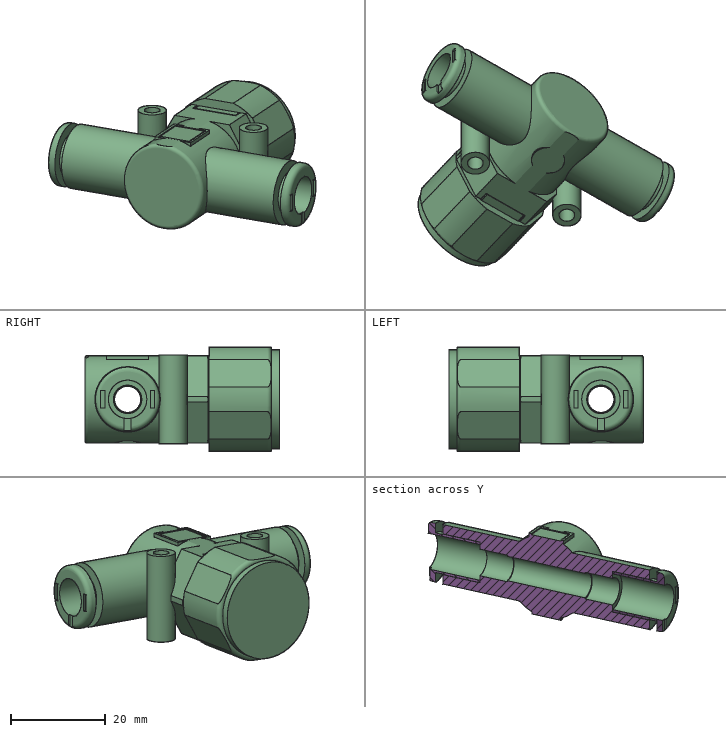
import cadquery as cq
import math


BARREL_RADIUS = 18.86 / 2
BARREL_END_Y = -9.02
BARREL_END_FILLET = 0.8
FLAT_Z = 9.25
ARM_RADIUS = 13.8 / 2
ARM_END_X = 25.05
BORE_RADIUS = 5.5 / 2
TUBE_STOP_RADIUS = 6.0 / 2

CORNER_RADIUS = 11.5
NECK_SIDE_APOTHEM = 10.25
NECK_START_Y = 9.2
NECK_END_Y = 16.95
WINDOW_WIDTH = 10.2
WINDOW_DEPTH = 0.5

PAD_WIDTH = 8.4
PAD_LENGTH = 8.9
PAD_RIM = 0.65
PAD_RECESS_DEPTH = 0.2
GATE_RADIUS = 3.5

EYELET_X = 12.0
EYELET_Y = 9.6
EYELET_RADIUS = 6.0 / 2
EYELET_HOLE_RADIUS = 3.3 / 2
EYELET_HEIGHT = 18.8

COLLET_BORE_RADIUS = 8.1 / 2
COLLET_SLEEVE_RADIUS = 9.2 / 2
COLLET_RIM_RADIUS = 13.6 / 2
COLLET_FACE_RADIUS = 11.65 / 2
COLLET_RIM_THICKNESS = 1.9
COLLET_END_X = 57.2 / 2
SOCKET_DEPTH = 9.0
MARK_DEPTH = 0.4
KEY_GROOVE_WIDTH = 1.45
SIDE_GROOVE_INNER_Y = 4.8
SIDE_GROOVE_WIDTH = 0.9
SIDE_GROOVE_LENGTH = 3.66

NUT_ACROSS_FLATS = 22.0
NUT_START_Y = 17.2
NUT_SHOULDER_Y = 30.4
NUT_END_Y = 32.08
NUT_FILLET = 0.9
NUT_LIP_RADIUS = 20.96 / 2
SPIGOT_ACROSS_FLATS = 18.26
SPIGOT_CORNER_RADIUS = 10.3
SPIGOT_START_Y = 15.1

SIDES = (-1, 1)
SOCKET_END_X = ARM_END_X - SOCKET_DEPTH
LONG = 100.0


def cylinder_y(radius, start_y, end_y):
    """Cylinder on the Y axis."""
    return cq.Workplane("XZ", origin=(0, start_y, 0)).circle(radius).extrude(start_y - end_y)


def cylinder_x(radius, start_x, end_x):
    """Cylinder on the X axis."""
    return cq.Workplane("YZ", origin=(start_x, 0, 0)).circle(radius).extrude(end_x - start_x)


def hexagon_y(flat_apothem, side_apothem, start_y, end_y):
    """Hexagonal prism along Y with flats facing +Z and -Z and four side faces."""
    cos30 = math.cos(math.radians(30))
    sin30 = math.sin(math.radians(30))
    corner_x = side_apothem / cos30
    flat_end_x = (side_apothem - flat_apothem * sin30) / cos30
    points = [
        (corner_x, 0),
        (flat_end_x, flat_apothem),
        (-flat_end_x, flat_apothem),
        (-corner_x, 0),
        (-flat_end_x, -flat_apothem),
        (flat_end_x, -flat_apothem),
    ]
    profile = cq.Workplane("XZ", origin=(0, start_y, 0)).polyline(points).close()
    return profile.extrude(start_y - end_y)


def make_spigot():
    """Hexagonal end of the nut with rounded corners, which sits in the body's neck."""
    apothem = SPIGOT_ACROSS_FLATS / 2
    hexagon = hexagon_y(apothem, apothem, SPIGOT_START_Y, NUT_START_Y)
    return hexagon.intersect(cylinder_y(SPIGOT_CORNER_RADIUS, SPIGOT_START_Y, NUT_START_Y))


def make_nut():
    apothem = NUT_ACROSS_FLATS / 2
    round_stock = cylinder_y(CORNER_RADIUS, NUT_START_Y, NUT_SHOULDER_Y)
    round_stock = round_stock.faces(">Y").edges().fillet(NUT_FILLET)
    nut = round_stock.intersect(hexagon_y(apothem, apothem, NUT_START_Y, NUT_SHOULDER_Y))
    nut = nut.union(cylinder_y(NUT_LIP_RADIUS, NUT_SHOULDER_Y, NUT_END_Y))
    return nut.union(make_spigot())


def make_collet(side):
    """Release collet: flanged sleeve at the -X (side = -1) or +X (side = 1) port."""
    rim_start_x = COLLET_END_X - COLLET_RIM_THICKNESS
    rim = cylinder_x(COLLET_RIM_RADIUS, rim_start_x, COLLET_END_X)
    rim = rim.faces(">X").edges().fillet(COLLET_RIM_RADIUS - COLLET_FACE_RADIUS)
    collet = rim.union(cylinder_x(COLLET_SLEEVE_RADIUS, SOCKET_END_X, rim_start_x))
    collet = collet.cut(cylinder_x(COLLET_BORE_RADIUS, SOCKET_END_X, COLLET_END_X))

    face = cq.Workplane("YZ", origin=(COLLET_END_X, 0, 0))
    key_groove = face.center(0, -COLLET_RIM_RADIUS / 2).rect(KEY_GROOVE_WIDTH, COLLET_RIM_RADIUS)
    collet = collet.cut(key_groove.extrude(-MARK_DEPTH))
    groove_y = SIDE_GROOVE_INNER_Y + SIDE_GROOVE_WIDTH / 2
    side_grooves = face.pushPoints([(-groove_y, 0), (groove_y, 0)])
    side_grooves = side_grooves.rect(SIDE_GROOVE_WIDTH, SIDE_GROOVE_LENGTH)
    collet = collet.cut(side_grooves.extrude(-MARK_DEPTH))

    if side < 0:
        collet = collet.mirror("YZ")
    return collet


def make_barrel():
    """Round trunk of the tee with flats above and below."""
    barrel = cylinder_y(BARREL_RADIUS, BARREL_END_Y, NECK_START_Y)
    barrel = barrel.faces("<Y").edges().fillet(BARREL_END_FILLET)
    return barrel.intersect(cq.Workplane("XY").box(LONG, LONG, 2 * FLAT_Z))


def make_neck():
    """Hexagonal neck with rounded corners."""
    neck = hexagon_y(FLAT_Z, NECK_SIDE_APOTHEM, NECK_START_Y, NECK_END_Y)
    return neck.intersect(cylinder_y(CORNER_RADIUS, NECK_START_Y, NECK_END_Y))


def cut_windows(body):
    """Notch the neck's top and bottom flats so that the nut's spigot shows."""
    length = NECK_END_Y - SPIGOT_START_Y
    centre_y = SPIGOT_START_Y + length / 2
    for side in SIDES:
        window = cq.Workplane("XY").box(WINDOW_WIDTH, length, 2 * WINDOW_DEPTH)
        body = body.cut(window.translate((0, centre_y, side * FLAT_Z)))
    return body


def make_body():
    body = make_barrel().union(make_neck())
    body = body.union(cylinder_x(ARM_RADIUS, -ARM_END_X, ARM_END_X))

    body = body.union(cq.Workplane("XY").rect(PAD_WIDTH, PAD_LENGTH).extrude(FLAT_Z))
    recess = cq.Workplane("XY", origin=(0, 0, FLAT_Z))
    recess = recess.rect(PAD_WIDTH - 2 * PAD_RIM, PAD_LENGTH - 2 * PAD_RIM)
    body = body.cut(recess.extrude(-PAD_RECESS_DEPTH))
    body = body.union(cq.Workplane("XY").circle(GATE_RADIUS).extrude(-FLAT_Z))

    eyelet_places = [(side * EYELET_X, EYELET_Y) for side in SIDES]
    eyelets = cq.Workplane("XY", origin=(0, 0, -EYELET_HEIGHT / 2)).pushPoints(eyelet_places)
    body = body.union(eyelets.circle(EYELET_RADIUS).extrude(EYELET_HEIGHT))
    body = body.cut(eyelets.circle(EYELET_HOLE_RADIUS).extrude(EYELET_HEIGHT))

    body = body.cut(cylinder_x(BORE_RADIUS, -ARM_END_X, ARM_END_X))
    for side in SIDES:
        body = body.cut(cylinder_x(TUBE_STOP_RADIUS, side * BARREL_RADIUS, side * ARM_END_X))
        body = body.cut(cylinder_x(COLLET_SLEEVE_RADIUS, side * SOCKET_END_X, side * ARM_END_X))

    body = body.cut(make_spigot())
    return cut_windows(body)


body = make_body()
nut = make_nut()
collets = [make_collet(side) for side in SIDES]

result = cq.Compound.makeCompound([body.val(), nut.val(), *[collet.val() for collet in collets]])